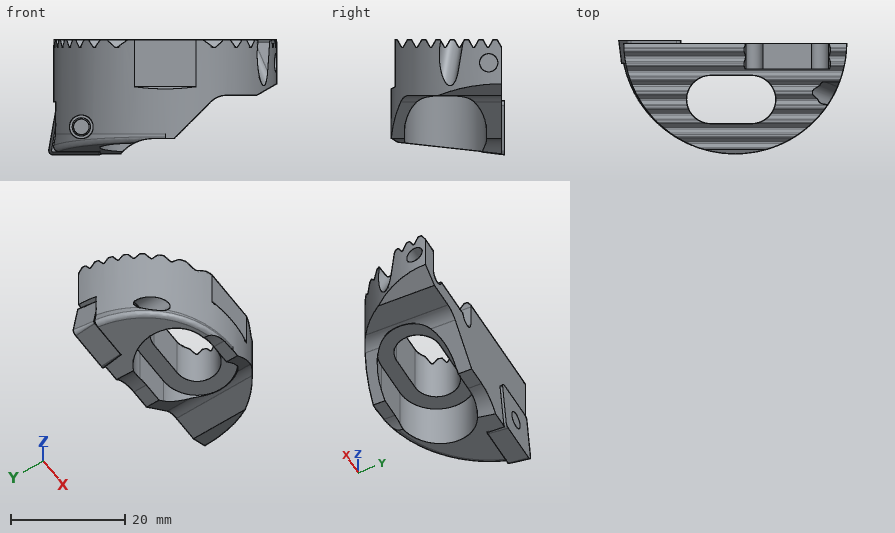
import cadquery as cq
import math

BODY_RADIUS = 19.52
BODY_AXIS_Y = 0.15
SPLIT_FACE_Y = 0.0
OVERSIZE = 23.95

HEEL_Z = -17.35
EAR_BOTTOM_Z = -9.8
HEEL_END_X = 1.5
HEEL_SLOPE_ANGLE = 45.0
EAR_BEVEL_START_X = 16.0
EAR_BEVEL_ANGLE = 30.0
EAR_FILLET = 4.0
TOE_END_X = -7.8
RELIEF_ARC_MID = (-5.7, -18.3)
RELIEF_ARC_END_X = -2.4

FLARE_TOP_Z = -16.55
FLARE_BOTTOM_Z = -20.75
FLARE_ANGLE = 10.0
TOE_BOTTOM_Z = -20.0
TOE_BOTTOM_SLOPE = 0.11
TOE_EDGE_FILLET = 0.9

FIRST_VALLEY_Y = 0.1
TOOTH_DEPTH = 1.4
VALLEY_RADIUS = 0.15
CREST_RADIUS = 0.25
FLANK_ANGLE = 30.0
GROOVE_COUNT = 8
SERRATION_SPAN = 17.5
TOOTH_PITCH = SERRATION_SPAN / (GROOVE_COUNT - 1)

SLOT_CENTRE = (-0.7, -9.82)
SLOT_LENGTH = 15.55
SLOT_WIDTH = 8.42
COUNTERBORE_MARGIN = 2.95
COUNTERBORE_CEILING_Z = EAR_BOTTOM_Z

POCKET_LEFT_X = 1.88
POCKET_RIGHT_X = 16.33
POCKET_BACK_Y = -4.5
POCKET_FLOOR_Z = -6.4
POCKET_RELIEF_RADIUS = 1.48
POCKET_FLARE_WIDTH = 0.3
POCKET_FLARE_DEPTH = 1.88
EAR_HOLE_RADIUS = 1.6
EAR_HOLE_Z = -4.07

FRONT_FLAT_Y = -18.6
FRONT_FLAT_HALF_WIDTH = 5.35
FRONT_FLAT_BOTTOM_Z = -8.25
FRONT_LEDGE_ANGLE = 27.0

RIM_GROOVE_WALL_EXIT = (17.8, -7.55, -5.3)
RIM_GROOVE_HEADING = -21.0
RIM_GROOVE_STEEPNESS = 65.0
RIM_GROOVE_RADIUS = 1.95

INSERT_FACE_Y = 0.5
INSERT_THICKNESS = 4.05
INSERT_LEFT_X = -20.55
INSERT_BOTTOM_Z = -20.2
INSERT_WIDTH = 9.55
INSERT_HEIGHT = 9.55
INSERT_LEAN = 10.0
INSERT_TAPER = 7.0
INSERT_CORNER_RADIUS = 0.8
SEAT_TOP_Z = -10.9

SCREW_X = -14.7
SCREW_Z = -15.3
SCREW_RADIUS = 1.6
SCREW_TIP_CHAMFER = 0.25
ACCESS_BORE_END_Y = -9.35
SCREW_TIP_RECESS = 0.25
ACCESS_BORE_RADIUS = 2.08


def tangent(degrees):
    return math.tan(math.radians(degrees))


def block(x0, x1, y0, y1, z0, z1):
    return cq.Workplane("XY").box(x1 - x0, y1 - y0, z1 - z0, centered=False).translate((x0, y0, z0))


def y_cylinder(radius, x, z, y_from, y_to):
    return cq.Workplane("XZ", origin=(x, y_from, z)).circle(radius).extrude(y_from - y_to)


def half_disc():
    disc = cq.Workplane("XY").center(0, BODY_AXIS_Y).circle(BODY_RADIUS).extrude(FLARE_BOTTOM_Z)
    return disc.intersect(block(-OVERSIZE, OVERSIZE, -OVERSIZE, SPLIT_FACE_Y, -OVERSIZE, 0))


def flared_toe():
    """Wall that leans toward -X below the straight body, with a rising, rounded underside."""
    height = FLARE_TOP_Z - FLARE_BOTTOM_Z
    shift = height * tangent(FLARE_ANGLE)
    toe = (
        cq.Workplane("XY", origin=(0, BODY_AXIS_Y, FLARE_TOP_Z)).circle(BODY_RADIUS)
        .workplane(offset=-height).center(-shift, 0).circle(BODY_RADIUS)
        .loft(ruled=True)
    )
    toe = toe.intersect(block(-OVERSIZE, 0, -OVERSIZE, SPLIT_FACE_Y, FLARE_BOTTOM_Z, FLARE_TOP_Z))
    below = (
        cq.Workplane("YZ")
        .moveTo(SPLIT_FACE_Y, TOE_BOTTOM_Z)
        .lineTo(-OVERSIZE, TOE_BOTTOM_Z + TOE_BOTTOM_SLOPE * OVERSIZE)
        .lineTo(-OVERSIZE, -OVERSIZE)
        .lineTo(SPLIT_FACE_Y, -OVERSIZE)
        .close()
        .extrude(-2 * OVERSIZE)
    )
    toe = toe.cut(below)
    rim_offset = BODY_RADIUS * math.sqrt(0.5)
    rim_point = (-rim_offset, -rim_offset, TOE_BOTTOM_Z)
    return toe.edges(cq.selectors.NearestToPointSelector(rim_point)).fillet(TOE_EDGE_FILLET)


def side_profile():
    """Outline in the XZ plane: toe relief arc, heel, slope up to the ear and bevelled ear tip."""
    slope = math.radians(HEEL_SLOPE_ANGLE)
    ear_corner_x = HEEL_END_X + (EAR_BOTTOM_Z - HEEL_Z) / math.tan(slope)
    tangent_length = EAR_FILLET * math.tan(slope / 2)
    arc_start = (
        ear_corner_x - tangent_length * math.cos(slope),
        EAR_BOTTOM_Z - tangent_length * math.sin(slope),
    )
    arc_end = (ear_corner_x + tangent_length, EAR_BOTTOM_Z)
    arc_middle = (
        arc_end[0] - EAR_FILLET * math.sin(slope / 2),
        arc_end[1] - EAR_FILLET * (1 - math.cos(slope / 2)),
    )
    bevel_rise = (OVERSIZE - EAR_BEVEL_START_X) * tangent(EAR_BEVEL_ANGLE)
    return (
        cq.Workplane("XZ")
        .moveTo(-OVERSIZE, 0)
        .lineTo(-OVERSIZE, -OVERSIZE)
        .lineTo(TOE_END_X, -OVERSIZE)
        .lineTo(TOE_END_X, TOE_BOTTOM_Z)
        .threePointArc(RELIEF_ARC_MID, (RELIEF_ARC_END_X, HEEL_Z))
        .lineTo(HEEL_END_X, HEEL_Z)
        .lineTo(*arc_start)
        .threePointArc(arc_middle, arc_end)
        .lineTo(EAR_BEVEL_START_X, EAR_BOTTOM_Z)
        .lineTo(OVERSIZE, EAR_BOTTOM_Z + bevel_rise)
        .lineTo(OVERSIZE, 0)
        .close()
        .extrude(OVERSIZE)
    )


def serration_groove(valley_y):
    """V groove along X with a round valley and rounded crest edges."""
    angle = math.radians(FLANK_ANGLE)
    crest_turn = math.pi / 2 - angle
    apex_depth = TOOTH_DEPTH + VALLEY_RADIUS * (1 / math.sin(angle) - 1)
    crest_y = apex_depth * math.tan(angle) + CREST_RADIUS * math.tan(crest_turn / 2)
    valley_y_offset = VALLEY_RADIUS * math.cos(angle)
    valley_end_z = VALLEY_RADIUS * (1 - math.sin(angle)) - TOOTH_DEPTH

    def on_crest(side, turn):
        return (
            valley_y + side * (crest_y - CREST_RADIUS * math.sin(turn)),
            CREST_RADIUS * (math.cos(turn) - 1),
        )

    def on_valley(side):
        return (valley_y + side * valley_y_offset, valley_end_z)

    return (
        cq.Workplane("YZ", origin=(-OVERSIZE, 0, 0))
        .moveTo(valley_y - crest_y, 0)
        .threePointArc(on_crest(-1, crest_turn / 2), on_crest(-1, crest_turn))
        .lineTo(*on_valley(-1))
        .threePointArc((valley_y, -TOOTH_DEPTH), on_valley(1))
        .lineTo(*on_crest(1, crest_turn))
        .threePointArc(on_crest(1, crest_turn / 2), (valley_y + crest_y, 0))
        .close()
        .extrude(2 * OVERSIZE)
    )


def clamping_slot():
    through = cq.Workplane("XY").center(*SLOT_CENTRE).slot2D(SLOT_LENGTH, SLOT_WIDTH).extrude(-OVERSIZE)
    growth = 2 * COUNTERBORE_MARGIN
    counterbore = (
        cq.Workplane("XY", origin=(*SLOT_CENTRE, COUNTERBORE_CEILING_Z))
        .slot2D(SLOT_LENGTH + growth, SLOT_WIDTH + growth)
        .extrude(-OVERSIZE)
    )
    return through.union(counterbore)


def split_face_pocket():
    """Pocket with flared mouth, round relief grooves beside its floor and a cross hole in the ear."""
    depth = SPLIT_FACE_Y - POCKET_BACK_Y
    pocket = (
        cq.Workplane("XZ")
        .moveTo(POCKET_LEFT_X - POCKET_FLARE_WIDTH, 0)
        .lineTo(POCKET_LEFT_X, -POCKET_FLARE_DEPTH)
        .lineTo(POCKET_LEFT_X, POCKET_FLOOR_Z)
        .lineTo(POCKET_RIGHT_X, POCKET_FLOOR_Z)
        .lineTo(POCKET_RIGHT_X, -POCKET_FLARE_DEPTH)
        .lineTo(POCKET_RIGHT_X + POCKET_FLARE_WIDTH, 0)
        .close()
        .extrude(depth)
    )
    for x in (POCKET_LEFT_X + POCKET_RELIEF_RADIUS, POCKET_RIGHT_X - POCKET_RELIEF_RADIUS):
        relief = y_cylinder(POCKET_RELIEF_RADIUS, x, POCKET_FLOOR_Z, SPLIT_FACE_Y, POCKET_BACK_Y)
        pocket = pocket.union(relief)
    ear_hole = (
        cq.Workplane("YZ", origin=(POCKET_RIGHT_X - POCKET_RELIEF_RADIUS, POCKET_BACK_Y / 2, EAR_HOLE_Z))
        .circle(EAR_HOLE_RADIUS)
        .extrude(OVERSIZE)
    )
    return pocket.union(ear_hole)


def front_flat():
    """Flat on the rim that ends on a ledge sloping down toward -Y."""
    ledge_drop = (FRONT_FLAT_Y + OVERSIZE) * tangent(FRONT_LEDGE_ANGLE)
    return (
        cq.Workplane("YZ", origin=(-FRONT_FLAT_HALF_WIDTH, 0, 0))
        .moveTo(FRONT_FLAT_Y, 0)
        .lineTo(FRONT_FLAT_Y, FRONT_FLAT_BOTTOM_Z)
        .lineTo(-OVERSIZE, FRONT_FLAT_BOTTOM_Z - ledge_drop)
        .lineTo(-OVERSIZE, 0)
        .close()
        .extrude(2 * FRONT_FLAT_HALF_WIDTH)
    )


def rim_groove():
    """U groove that runs down and outward from the top to the rim and opens toward +X."""
    heading = math.radians(RIM_GROOVE_HEADING)
    steepness = math.radians(RIM_GROOVE_STEEPNESS)
    along = cq.Vector(
        math.cos(steepness) * math.cos(heading),
        math.cos(steepness) * math.sin(heading),
        -math.sin(steepness),
    )
    wall_normal = along.cross(cq.Vector(1, 0, 0)).normalized()
    outward = wall_normal.cross(along)
    axis_point = cq.Vector(*RIM_GROOVE_WALL_EXIT) + wall_normal * RIM_GROOVE_RADIUS
    section = cq.Plane(origin=axis_point - along * OVERSIZE, xDir=outward, normal=along)
    return (
        cq.Workplane(section)
        .moveTo(0, -RIM_GROOVE_RADIUS)
        .threePointArc((-RIM_GROOVE_RADIUS, 0), (0, RIM_GROOVE_RADIUS))
        .lineTo(OVERSIZE, RIM_GROOVE_RADIUS)
        .lineTo(OVERSIZE, -RIM_GROOVE_RADIUS)
        .close()
        .extrude(2 * OVERSIZE)
    )


def insert_blank():
    lean = INSERT_HEIGHT * tangent(INSERT_LEAN)
    return (
        cq.Workplane("XZ", origin=(INSERT_LEFT_X, INSERT_FACE_Y, INSERT_BOTTOM_Z))
        .sketch()
        .polygon([
            (0, 0),
            (INSERT_WIDTH, 0),
            (INSERT_WIDTH + lean, INSERT_HEIGHT),
            (lean, INSERT_HEIGHT),
            (0, 0),
        ])
        .vertices()
        .fillet(INSERT_CORNER_RADIUS)
        .finalize()
        .extrude(INSERT_THICKNESS, taper=INSERT_TAPER)
    )


def insert_seat():
    """Recess in the toe that holds the insert and is open toward -X and below."""
    back_y = INSERT_FACE_Y - INSERT_THICKNESS
    opening = block(-OVERSIZE, SCREW_X, back_y, OVERSIZE, -OVERSIZE, SEAT_TOP_Z)
    return insert_blank().union(opening)


def screw_cylinder(tip_y):
    return y_cylinder(SCREW_RADIUS, SCREW_X, SCREW_Z, INSERT_FACE_Y, tip_y)


def make_housing():
    straight = half_disc().cut(block(-OVERSIZE, 0, -OVERSIZE, OVERSIZE, -OVERSIZE, FLARE_TOP_Z))
    body = straight.union(flared_toe()).intersect(side_profile())
    for index in range(GROOVE_COUNT):
        body = body.cut(serration_groove(FIRST_VALLEY_Y - index * TOOTH_PITCH))
    body = body.cut(clamping_slot())
    body = body.cut(split_face_pocket())
    body = body.cut(front_flat())
    body = body.cut(rim_groove())
    body = body.cut(insert_seat())
    body = body.cut(screw_cylinder(ACCESS_BORE_END_Y))
    return body.cut(y_cylinder(ACCESS_BORE_RADIUS, SCREW_X, SCREW_Z, ACCESS_BORE_END_Y, -OVERSIZE))


def make_insert():
    return insert_blank().cut(screw_cylinder(ACCESS_BORE_END_Y))


def make_screw():
    return screw_cylinder(ACCESS_BORE_END_Y + SCREW_TIP_RECESS).faces("<Y").chamfer(SCREW_TIP_CHAMFER)


housing = make_housing()
insert = make_insert()
screw = make_screw()

result = cq.Compound.makeCompound([housing.solids().val(), insert.solids().val(), screw.solids().val()])